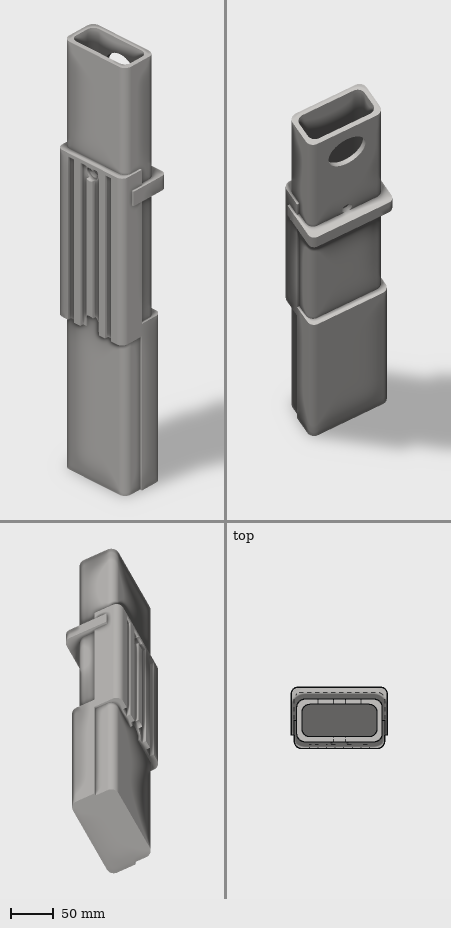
import cadquery as cq
tube_length = 590.0
tube_width = 100.0
tube_depth = 50.0
tube_wall = 6.0
tube_radius = 9.7
bore_radius = 9.5
rear_hole_diameter = 50.0
rear_hole_z = 545.0
tube_front_y = -tube_depth / 2
tube_back_y = tube_depth / 2
bore_width = tube_width - 2 * tube_wall
bore_back_y = tube_back_y - tube_wall

plug_thickness = 6.0

shell_length = 230.0
shell_side = 3.0
shell_face = 8.0
shell_radius = 9.0
shell_overlap = 17.5
shell_width = tube_width + 2 * shell_side
shell_depth = tube_depth / 2 + shell_face
shell_front_y = -shell_depth
front_shell_z = shell_length - shell_overlap
front_shell_top = front_shell_z + shell_length

groove_width = 10.0
groove_depth = 5.0
groove_pitch = 20.0
groove_count = 4
groove_top_margin = 5.0
notch_width = 20.0
notch_height = 20.0

tube_hole_diameter = 14.0
shell_hole_diameter = 18.0
hole_below_shell_top = 15.0
hole_z = front_shell_top - hole_below_shell_top

clip_width = 112.5
clip_height = 20.0
clip_radius = 8.0
clip_x = -0.25
clip_z = 401.0
clip_back_thickness = 14.0
clip_arm_length = 56.0
clip_front_y = tube_back_y + clip_back_thickness - clip_arm_length


def upright_box(width, depth, height):
    """Box centred on X that starts at Y = 0 and Z = 0."""
    return cq.Workplane("XY").box(width, depth, height, centered=(True, False, False))


def rounded_bar(width, back_y, height, radius):
    """Upright bar centred on the tube axis with its vertical edges rounded."""
    bar = upright_box(width, 2 * back_y, height).edges("|Z").fillet(radius)
    return bar.translate((0, -back_y, 0))


def y_cylinder(diameter, y_min, y_max, z):
    """Cylinder along Y, centred on X."""
    plane = cq.Workplane("XZ", origin=(0, y_min, z))
    return plane.circle(diameter / 2).extrude(y_min - y_max)


def tube_envelope():
    return rounded_bar(tube_width, tube_back_y, tube_length, tube_radius)


def half_shell(z_min):
    """Plain half shell in front of the tube, reaching back to its mid plane."""
    block = upright_box(shell_width, shell_depth, shell_length)
    block = block.faces("<Y").edges("|Z").fillet(shell_radius)
    return block.translate((0, shell_front_y, z_min)).cut(tube_envelope())


def make_tube():
    bore = rounded_bar(bore_width, bore_back_y, tube_length, bore_radius)
    through_hole = y_cylinder(tube_hole_diameter, tube_front_y, tube_back_y, hole_z)
    rear_hole = y_cylinder(rear_hole_diameter, 0, tube_back_y, rear_hole_z)
    return tube_envelope().cut(bore).cut(through_hole).cut(rear_hole)


def make_plug():
    return rounded_bar(bore_width, bore_back_y, plug_thickness, bore_radius)


def cut_grooves(shell):
    """Cut the row of vertical grooves, open at the bottom of the shell."""
    groove = upright_box(groove_width, groove_depth, shell_length - groove_top_margin)
    for i in range(groove_count):
        x = (i - (groove_count - 1) / 2) * groove_pitch
        shell = shell.cut(groove.translate((x, shell_front_y, front_shell_z)))
    return shell


def cut_notch(shell):
    """Cut the round-topped notch in the bottom edge of the shell."""
    straight_height = notch_height - notch_width / 2
    arch = y_cylinder(notch_width, shell_front_y, tube_front_y, front_shell_z + straight_height)
    slot = upright_box(notch_width, shell_face, straight_height)
    slot = slot.translate((0, shell_front_y, front_shell_z))
    return shell.cut(arch).cut(slot)


def make_front_shell():
    shell = cut_notch(cut_grooves(half_shell(front_shell_z)))
    return shell.cut(y_cylinder(shell_hole_diameter, shell_front_y, tube_front_y, hole_z))


def make_rear_shell():
    """Plain half shell turned to the back of the tube, at its lower end."""
    return half_shell(0).rotate((0, 0, 0), (0, 0, 1), 180)


def make_clip():
    """U-shaped clip fitted against the tube and the sides of the front shell."""
    block = upright_box(clip_width, clip_arm_length, clip_height)
    block = block.faces(">Y").edges("|Z").fillet(clip_radius)
    block = block.translate((clip_x, clip_front_y, clip_z))
    return block.cut(tube_envelope()).cut(half_shell(front_shell_z))


tube = make_tube()
plug = make_plug()
front_shell = make_front_shell()
rear_shell = make_rear_shell()
clip = make_clip()

result = cq.Compound.makeCompound(
    [tube.val(), plug.val(), front_shell.val(), rear_shell.val(), clip.val()]
)